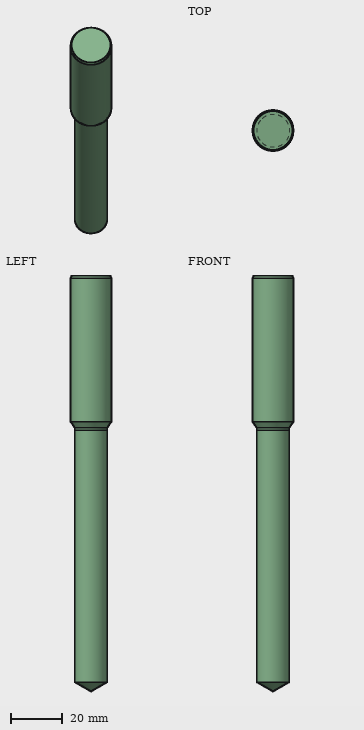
import cadquery as cq
import math

total_length = 161.0
shank_diameter = 16.0
cutter_diameter = 12.7
point_angle = 120.0
cutter_length = 101.1
neck_length = 1.0
shoulder_height = 2.4
chamfer_width = 0.5
chamfer_height = 1.1

shank_radius = shank_diameter / 2
cutter_radius = cutter_diameter / 2
point_height = cutter_radius / math.tan(math.radians(point_angle / 2))
shoulder_bottom = cutter_length + neck_length
shoulder_top = shoulder_bottom + shoulder_height


def revolve_profile(points):
    """Revolve a closed (radius, height) outline about the Z axis."""
    return cq.Workplane("XZ").polyline(points).close().revolve(360, (0, 0), (0, 1))


def make_cutter():
    """Cylindrical cutting body with a conical point."""
    return revolve_profile([
        (0, 0),
        (cutter_radius, point_height),
        (cutter_radius, cutter_length),
        (0, cutter_length),
    ])


def make_shank():
    """Shank with a short neck, a conical shoulder and a chamfered end."""
    return revolve_profile([
        (0, cutter_length),
        (cutter_radius, cutter_length),
        (cutter_radius, shoulder_bottom),
        (shank_radius, shoulder_top),
        (shank_radius, total_length - chamfer_height),
        (shank_radius - chamfer_width, total_length),
        (0, total_length),
    ])


cutter = make_cutter()
shank = make_shank()

result = cq.Compound.makeCompound([cutter.val(), shank.val()])